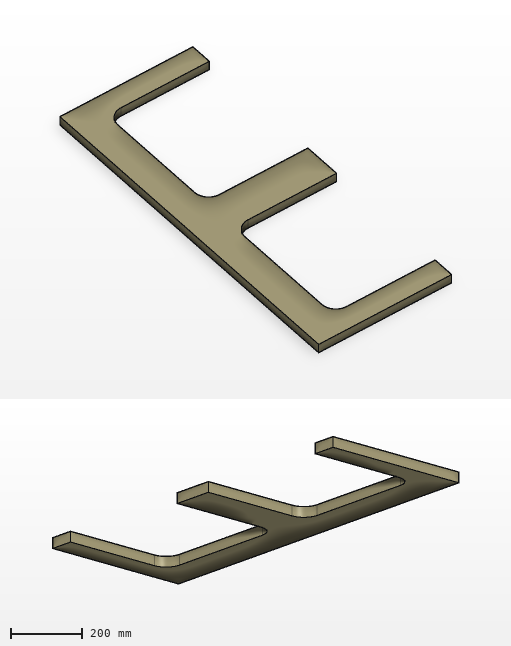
import cadquery as cq

LENGTH = 1184.0
DEPTH = 470.0
THICKNESS = 32.0

BASE_WIDTH = 108.0
END_ARM_WIDTH = 76.0
MIDDLE_ARM_WIDTH = 131.0
CORNER_RADIUS = 50.0

OPENING_WIDTH = (LENGTH - 2 * END_ARM_WIDTH - MIDDLE_ARM_WIDTH) / 2
OPENING_DEPTH = DEPTH - BASE_WIDTH
OPENING_OFFSET = (MIDDLE_ARM_WIDTH + OPENING_WIDTH) / 2


def make_plate():
    """Plain rectangular plate, centred in X, front edge at Y = 0 and underside at Z = 0."""
    return cq.Workplane("XY").box(LENGTH, DEPTH, THICKNESS, centered=(True, False, False))


def make_opening(center_x):
    """Through opening, open at the back edge, with its two inner corners rounded."""
    return (
        cq.Workplane("XY")
        .box(OPENING_WIDTH, OPENING_DEPTH, THICKNESS, centered=(True, False, False))
        .edges("|Z and <Y")
        .fillet(CORNER_RADIUS)
        .translate((center_x, BASE_WIDTH, 0))
    )


result = make_plate()
for side in (-1, 1):
    result = result.cut(make_opening(side * OPENING_OFFSET))